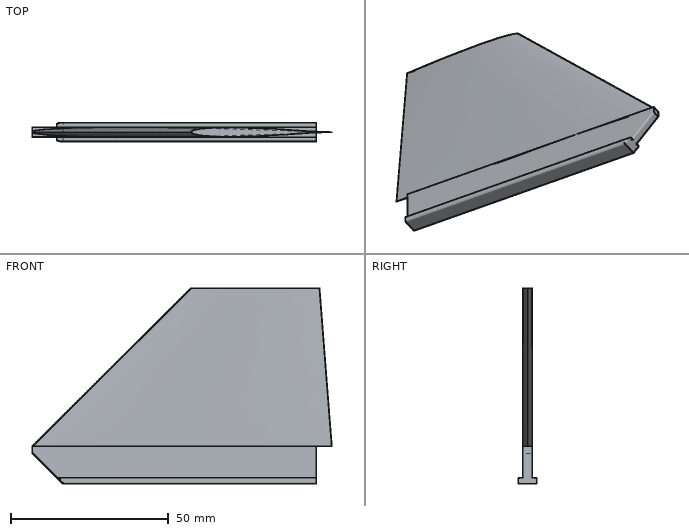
import cadquery as cq
import math

root_chord = 95.0
tip_lead_x = 50.35
tip_trail_x = 91.1
root_thickness = 3.1
tip_thickness = 2.9
root_z = 11.9
top_z = 62.0

rail_length = 90.1
web_width = 3.1
foot_width = 6.0
foot_height = 2.0
rake_run = 9.8
edge_radius = 0.6

section_terms = ((0.5, 0.2969), (1, -0.126), (2, -0.3516), (3, 0.2843), (4, -0.1036))
section_scale = 5.0
points_per_side = 16


def half_thickness(s, thickness):
    return section_scale * thickness * sum(factor * s**power for power, factor in section_terms)


def aerofoil(lead_x, trail_x, thickness, z):
    """Closed section wire at height z, with points bunched towards the nose."""
    chord = trail_x - lead_x
    upper = []
    lower = []
    for i in range(points_per_side + 1):
        s = 1 - math.cos(math.pi / 2 * i / points_per_side)
        x = lead_x + chord * s
        y = half_thickness(s, thickness) if 0 < i < points_per_side else 0
        upper.append(cq.Vector(x, y, z))
        lower.append(cq.Vector(x, -y, z))
    return cq.Wire.assembleEdges([cq.Edge.makeSpline(upper[::-1]), cq.Edge.makeSpline(lower)])


def make_blade():
    root = aerofoil(0, root_chord, root_thickness, root_z)
    tip = aerofoil(tip_lead_x, tip_trail_x, tip_thickness, top_z)
    return cq.Workplane(cq.Solid.makeLoft([root, tip], True))


def rail_bar(width, height):
    """Bar standing on z = 0, cut at 45 degrees at its lower front corner."""
    rake_height = min(rake_run, height)
    outline = [
        (rake_run, 0),
        (rail_length, 0),
        (rail_length, height),
        (rake_run - rake_height, height),
    ]
    if height > rake_run:
        outline.append((0, rake_run))
    return cq.Workplane("XZ").polyline(outline).close().extrude(width / 2, both=True)


rake_edges = cq.selectors.ParallelDirSelector(cq.Vector(1, 0, -1))


def make_web():
    return rail_bar(web_width, root_z).edges(rake_edges).fillet(edge_radius)


def make_foot():
    foot_edges = cq.selectors.SumSelector(cq.selectors.ParallelDirSelector(cq.Vector(1, 0, 0)), rake_edges)
    return rail_bar(foot_width, foot_height).edges(foot_edges).fillet(edge_radius)


result = make_foot().union(make_web()).union(make_blade())